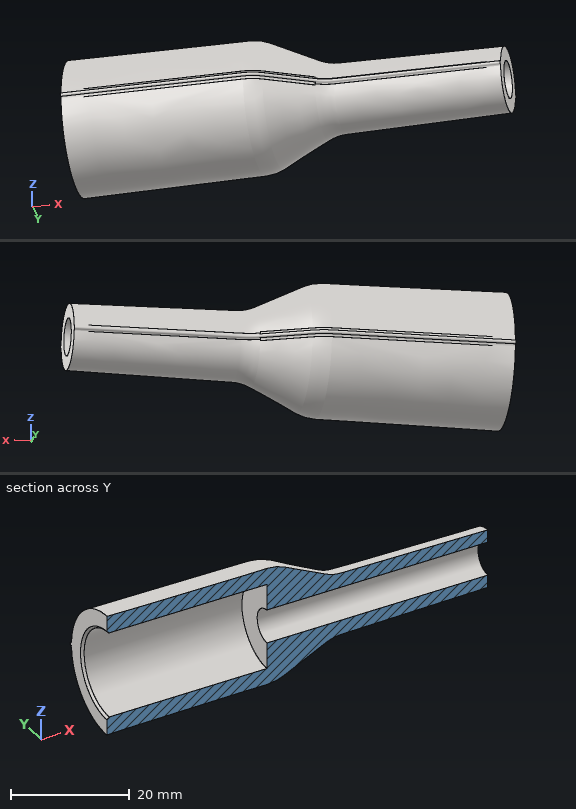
import cadquery as cq
import math

length = 74.5
mouth_point = (0.0, 11.735)
shoulder_corner = (33.1, 11.5)
neck_corner = (44.25, 6.1)
tip_point = (length, 5.7)
blend_radius = 7.45

socket_diameter = 16.5
socket_depth = 31.3
through_diameter = 6.4
mouth_chamfer = 0.45

ridge_height = 0.41
crest_height = 0.185
crest_half_width = 0.335
body_foot_half_width = 0.78
spigot_foot_half_width = 0.56
foot_sink = 0.03
foot_sag = 0.04
root_depth = 0.4
corner_rise = 0.03
end_overrun = 0.75


def toward(start, end, distance):
    """Point at a given distance from start on the line to end."""
    ratio = distance / math.dist(start, end)
    return tuple(a + (b - a) * ratio for a, b in zip(start, end))


def blend_points(before, corner, after):
    """Start, middle and end of the tangent arc that rounds a profile corner."""
    angle_in = math.atan2(corner[1] - before[1], corner[0] - before[0])
    angle_out = math.atan2(after[1] - corner[1], after[0] - corner[0])
    half_turn = abs(angle_out - angle_in) / 2
    start = toward(corner, before, blend_radius * math.tan(half_turn))
    end = toward(corner, after, blend_radius * math.tan(half_turn))
    chord_middle = ((start[0] + end[0]) / 2, (start[1] + end[1]) / 2)
    middle = toward(chord_middle, corner, blend_radius * (1 - math.cos(half_turn)))
    return start, middle, end


shoulder = blend_points(mouth_point, shoulder_corner, neck_corner)
neck = blend_points(shoulder_corner, neck_corner, tip_point)


def make_body():
    """Solid of revolution about the X axis."""
    return (
        cq.Workplane("XZ")
        .moveTo(0, 0)
        .lineTo(*mouth_point)
        .lineTo(*shoulder[0])
        .threePointArc(*shoulder[1:])
        .lineTo(*neck[0])
        .threePointArc(*neck[1:])
        .lineTo(*tip_point)
        .lineTo(length, 0)
        .close()
        .revolve(360, (0, 0, 0), (1, 0, 0))
    )


def ridge_section(start, ahead, foot_half_width):
    """Ridge outline on a plane across the path, at the path start."""
    foot_middle = (
        (crest_height - foot_sink) / 2 - foot_sag,
        (crest_half_width + foot_half_width) / 2,
    )
    direction = (ahead[0] - start[0], ahead[1] - start[1], 0)
    outward = (-direction[1], direction[0], 0)
    plane = cq.Plane(origin=(*start, 0), xDir=outward, normal=direction)
    return (
        cq.Workplane(plane)
        .moveTo(-root_depth, -foot_half_width)
        .lineTo(-foot_sink, -foot_half_width)
        .threePointArc((foot_middle[0], -foot_middle[1]), (crest_height, -crest_half_width))
        .threePointArc((ridge_height, 0), (crest_height, crest_half_width))
        .threePointArc(foot_middle, (-foot_sink, foot_half_width))
        .lineTo(-root_depth, foot_half_width)
        .close()
    )


def make_ridge():
    """Ridge on the +Y side, with a narrower foot from the neck onward."""
    ridge_shoulder_corner = (shoulder_corner[0], shoulder_corner[1] + corner_rise)
    ridge_neck_corner = (neck_corner[0], neck_corner[1] + corner_rise)
    ridge_shoulder = blend_points(mouth_point, ridge_shoulder_corner, ridge_neck_corner)
    ridge_neck = blend_points(ridge_shoulder_corner, ridge_neck_corner, tip_point)
    path_start = toward(mouth_point, ridge_shoulder_corner, -end_overrun)
    path_end = toward(tip_point, ridge_neck_corner, -end_overrun)
    body_path = (
        cq.Workplane("XY")
        .moveTo(*path_start)
        .lineTo(*ridge_shoulder[0])
        .threePointArc(*ridge_shoulder[1:])
        .lineTo(*ridge_neck[0])
    )
    spigot_path = (
        cq.Workplane("XY")
        .moveTo(*ridge_neck[0])
        .threePointArc(*ridge_neck[1:])
        .lineTo(*path_end)
    )
    body_ridge = ridge_section(path_start, ridge_shoulder_corner, body_foot_half_width)
    body_ridge = body_ridge.sweep(body_path)
    spigot_ridge = ridge_section(ridge_neck[0], ridge_neck_corner, spigot_foot_half_width)
    spigot_ridge = spigot_ridge.sweep(spigot_path)
    trim_size = 2 * mouth_point[1] + 4 * ridge_height
    trim = cq.Workplane("XY").box(length, trim_size, trim_size, centered=(False, True, True))
    return body_ridge.union(spigot_ridge).intersect(trim)


def make_bore():
    """Wide socket with a chamfered mouth, then a narrow through hole."""
    socket_radius = socket_diameter / 2
    through_radius = through_diameter / 2
    return (
        cq.Workplane("XZ")
        .polyline([
            (0, 0),
            (0, socket_radius + mouth_chamfer),
            (mouth_chamfer, socket_radius),
            (socket_depth, socket_radius),
            (socket_depth, through_radius),
            (length, through_radius),
            (length, 0),
        ])
        .close()
        .revolve(360, (0, 0, 0), (1, 0, 0))
    )


ridge = make_ridge()
result = make_body().union(ridge).union(ridge.mirror("XZ")).cut(make_bore())